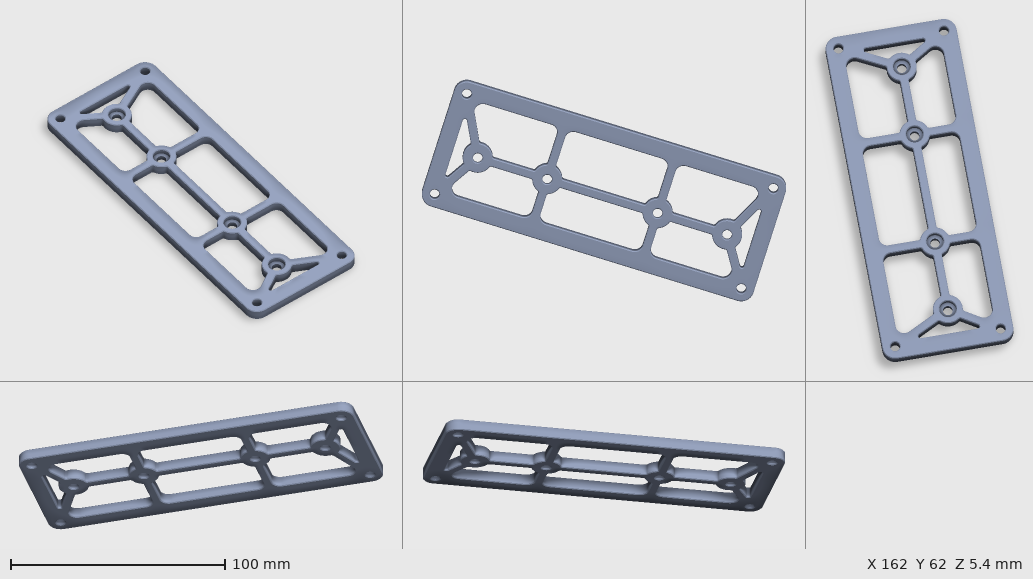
import cadquery as cq
import math

LENGTH = 162.0
WIDTH = 62.0
THICKNESS = 5.4
CORNER_RADIUS = 6.0
EDGE_CHAMFER = 0.4

FRAME_WIDTH = 8.0
OPENING_LENGTH = LENGTH - 2 * FRAME_WIDTH
OPENING_WIDTH = WIDTH - 2 * FRAME_WIDTH
RIB_WIDTH = 4.0
WINDOW_RADIUS = 4.0
TRIANGLE_RADIUS = 1.0
HUB_BLEND_RADIUS = 1.0

HOLE_DIAMETER = 4.5
CORNER_HOLE_X = LENGTH / 2 - CORNER_RADIUS
CORNER_HOLE_Y = WIDTH / 2 - CORNER_RADIUS
CORNER_HOLES = [(sx * CORNER_HOLE_X, sy * CORNER_HOLE_Y) for sx in (-1, 1) for sy in (-1, 1)]

HUB_DIAMETER = 14.0
COUNTERBORE_DIAMETER = 8.0
COUNTERBORE_DEPTH = 2.6
INNER_HUB_X = 27.0
OUTER_HUB_X = 61.0
HUB_Y = -2.5
HUBS = [(x, HUB_Y) for x in (-OUTER_HUB_X, -INNER_HUB_X, INNER_HUB_X, OUTER_HUB_X)]

TOLERANCE = 1e-3


def cylinders(centres, diameter, bottom_z=0.0):
    """Equal upright cylinders reaching from bottom_z to the top face."""
    base = cq.Workplane("XY").workplane(offset=bottom_z).pushPoints(centres)
    return base.circle(diameter / 2).extrude(THICKNESS - bottom_z)


def rib(start, end):
    """Full-height straight rib between two points."""
    dx = end[0] - start[0]
    dy = end[1] - start[1]
    bar = cq.Workplane("XY").box(math.hypot(dx, dy), RIB_WIDTH, THICKNESS, centered=(True, True, False))
    bar = bar.rotate((0, 0, 0), (0, 0, 1), math.degrees(math.atan2(dy, dx)))
    return bar.translate(((start[0] + end[0]) / 2, (start[1] + end[1]) / 2, 0))


def rib_web():
    """Hubs joined by a spine, cross ribs and diagonal struts to the corner holes."""
    web = cylinders(HUBS, HUB_DIAMETER)
    web = web.union(rib(HUBS[0], HUBS[-1]))
    for side in (-1, 1):
        cross_x = side * INNER_HUB_X
        web = web.union(rib((cross_x, -WIDTH / 2), (cross_x, WIDTH / 2)))
    for hole in CORNER_HOLES:
        outer_hub = (math.copysign(OUTER_HUB_X, hole[0]), HUB_Y)
        web = web.union(rib(outer_hub, hole))
    return web


def is_upright(edge):
    """True for a straight edge parallel to Z."""
    return edge.geomType() == "LINE" and abs(edge.tangentAt(0).z) > 1 - TOLERANCE


def lies_on_frame(edge):
    """True for an edge on the border of the frame opening."""
    centre = edge.Center()
    on_end = abs(abs(centre.x) - OPENING_LENGTH / 2) < TOLERANCE
    on_side = abs(abs(centre.y) - OPENING_WIDTH / 2) < TOLERANCE
    return on_end or on_side


def windows():
    """Solids filling the openings, rounded at the frame and where ribs meet hubs."""
    opening = cq.Workplane("XY").box(OPENING_LENGTH, OPENING_WIDTH, THICKNESS, centered=(True, True, False))
    pieces = []
    for piece in opening.cut(rib_web()).solids().vals():
        is_end_triangle = abs(piece.Center().x) > OUTER_HUB_X
        frame_radius = TRIANGLE_RADIUS if is_end_triangle else WINDOW_RADIUS
        corners = [edge for edge in piece.Edges() if is_upright(edge)]
        frame_corners = [edge for edge in corners if lies_on_frame(edge)]
        hub_corners = [edge for edge in corners if not lies_on_frame(edge)]
        pieces.append(piece.fillet(HUB_BLEND_RADIUS, hub_corners).fillet(frame_radius, frame_corners))
    return pieces


def make_plate():
    """Rounded plate with windows, holes and counterbores, chamfered on both faces."""
    plate = cq.Workplane("XY").box(LENGTH, WIDTH, THICKNESS, centered=(True, True, False))
    plate = plate.edges("|Z").fillet(CORNER_RADIUS)
    for window in windows():
        plate = plate.cut(cq.Workplane(obj=window))
    plate = plate.cut(cylinders(CORNER_HOLES + HUBS, HOLE_DIAMETER))
    plate = plate.cut(cylinders(HUBS, COUNTERBORE_DIAMETER, THICKNESS - COUNTERBORE_DEPTH))
    return plate.faces(">Z or <Z").edges().chamfer(EDGE_CHAMFER)


result = cq.Workplane(obj=make_plate().solids().val())